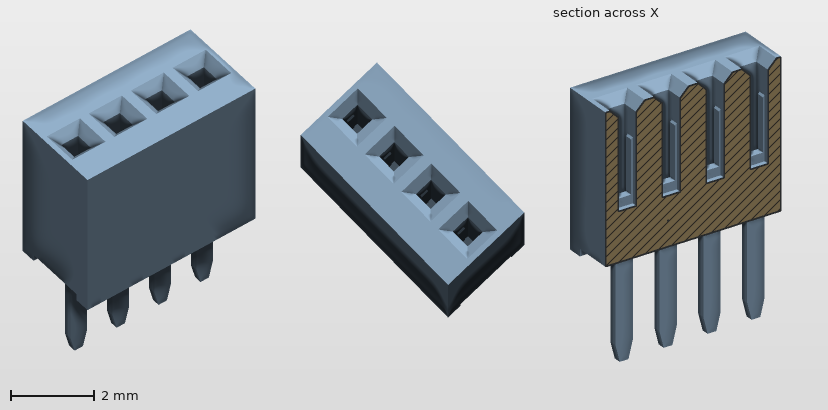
import cadquery as cq

contact_count = 4
pitch = 1.2705
housing_width = 2 * pitch
housing_length = contact_count * pitch
total_height = 7.0
housing_height = 4.4
notch_width = 1.695
notch_depth = 0.2

funnel_mouth = 1.0
well_side = 0.505
funnel_depth = (funnel_mouth - well_side) / 2
well_depth = 2.8

contact_thickness = 0.22
contact_width = well_side
tip_width = contact_width / 2
tip_height = 0.5
tine_top_depth = 1.0
tine_width = 0.05
lead_in_height = tine_width
fork_base_height = 0.25

housing_bottom = total_height - housing_height
well_floor = total_height - well_depth
tine_top = total_height - tine_top_depth
fork_root = well_floor + fork_base_height


def make_housing():
    """Rectangular block with a shallow notch along the middle of its underside."""
    underside = cq.Workplane("XY", origin=(0, 0, housing_bottom))
    block = underside.rect(housing_width, housing_length).extrude(housing_height)
    notch = underside.rect(notch_width, housing_length).extrude(notch_depth)
    return block.cut(notch)


def make_socket():
    """Void of one socket, centred on the Z axis."""
    funnel = (
        cq.Workplane("XY", origin=(0, 0, total_height))
        .rect(funnel_mouth, funnel_mouth)
        .workplane(offset=-funnel_depth)
        .rect(well_side, well_side)
        .loft(ruled=True)
    )
    well = (
        cq.Workplane("XY", origin=(0, 0, well_floor))
        .rect(well_side, well_side)
        .extrude(well_depth - funnel_depth)
    )
    return funnel.union(well)


def make_contact():
    """Flat contact on the Z axis: tapered tip, blade, and two tines with sloped lead-ins."""
    edge = contact_width / 2
    tine_face = edge - tine_width
    right_half = [
        (tip_width / 2, 0),
        (edge, tip_height),
        (edge, tine_top),
        (tine_face, tine_top - lead_in_height),
        (tine_face, fork_root),
    ]
    left_half = [(-y, z) for y, z in reversed(right_half)]
    return (
        cq.Workplane("YZ")
        .polyline(right_half + left_half)
        .close()
        .extrude(contact_thickness / 2, both=True)
    )


socket = make_socket()
contact = make_contact()

result = make_housing()
for index in range(contact_count):
    offset = (0, (index - (contact_count - 1) / 2) * pitch, 0)
    result = result.cut(socket.translate(offset)).union(contact.translate(offset))